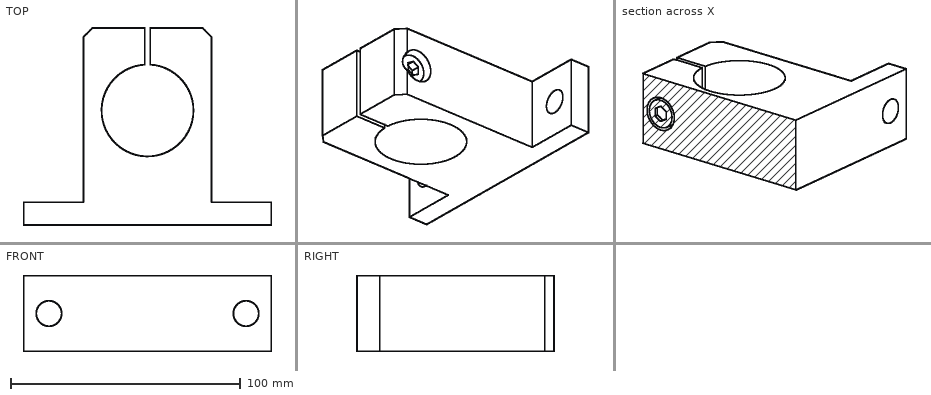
import cadquery as cq

FOOT_LENGTH = 108.0
FOOT_THICKNESS = 10.0
FOOT_HOLE_DIAMETER = 11.0
FOOT_HOLE_SPACING = 86.0

PART_DEPTH = 86.0
PART_HEIGHT = 33.0
BLOCK_WIDTH = 56.0
BLOCK_CHAMFER = 4.0

BORE_DIAMETER = 40.0
BORE_CENTER_Y = 50.0
SLOT_WIDTH = 2.2

SCREW_INSET = 10.0
SCREW_Y = PART_DEPTH - SCREW_INSET
COUNTERBORE_DIAMETER = 15.0
HEAD_DIAMETER = 13.0
HEAD_HEIGHT = 8.0
HEAD_RECESS = 3.0
HEAD_EDGE_RADIUS = 0.8
HEX_SIDES = 6
HEX_ACROSS_FLATS = 6.0
HEX_DEPTH = 4.0
COUNTERBORE_DEPTH = HEAD_RECESS + HEAD_HEIGHT


def make_foot():
    """Flat foot with two mounting holes through its thickness."""
    foot = cq.Workplane("XY").box(
        FOOT_LENGTH, FOOT_THICKNESS, PART_HEIGHT, centered=(True, False, True)
    )
    return (
        foot.faces("<Y")
        .workplane(centerOption="CenterOfBoundBox")
        .pushPoints([(-FOOT_HOLE_SPACING / 2, 0), (FOOT_HOLE_SPACING / 2, 0)])
        .hole(FOOT_HOLE_DIAMETER)
    )


def make_block():
    """Block with chamfered outer corners, split by the shaft bore and slot."""
    block = cq.Workplane("XY").box(
        BLOCK_WIDTH, PART_DEPTH - FOOT_THICKNESS, PART_HEIGHT, centered=(True, False, True)
    )
    block = block.translate((0, FOOT_THICKNESS, 0))
    block = block.faces(">Y").edges("|Z").chamfer(BLOCK_CHAMFER)
    bore = (
        cq.Workplane("XY")
        .center(0, BORE_CENTER_Y)
        .circle(BORE_DIAMETER / 2)
        .extrude(PART_HEIGHT / 2, both=True)
    )
    slot = cq.Workplane("XY").box(
        SLOT_WIDTH, PART_DEPTH - BORE_CENTER_Y, PART_HEIGHT, centered=(True, False, True)
    )
    return block.cut(bore).cut(slot.translate((0, BORE_CENTER_Y, 0)))


def screw_plane(depth):
    """Plane facing +X on the screw axis, at a depth below the block's -X side."""
    return cq.Workplane("YZ", origin=(depth - BLOCK_WIDTH / 2, SCREW_Y, 0))


def make_screw_head():
    """Round-edged socket head, standing on the counterbore floor."""
    head = screw_plane(HEAD_RECESS).circle(HEAD_DIAMETER / 2).extrude(HEAD_HEIGHT)
    head = head.faces("<X").edges().fillet(HEAD_EDGE_RADIUS)
    socket = (
        screw_plane(HEAD_RECESS)
        .polygon(HEX_SIDES, HEX_ACROSS_FLATS, circumscribed=True)
        .extrude(HEX_DEPTH)
    )
    return head.cut(socket)


counterbore = screw_plane(0).circle(COUNTERBORE_DIAMETER / 2).extrude(COUNTERBORE_DEPTH)

result = make_foot().union(make_block()).cut(counterbore).union(make_screw_head())